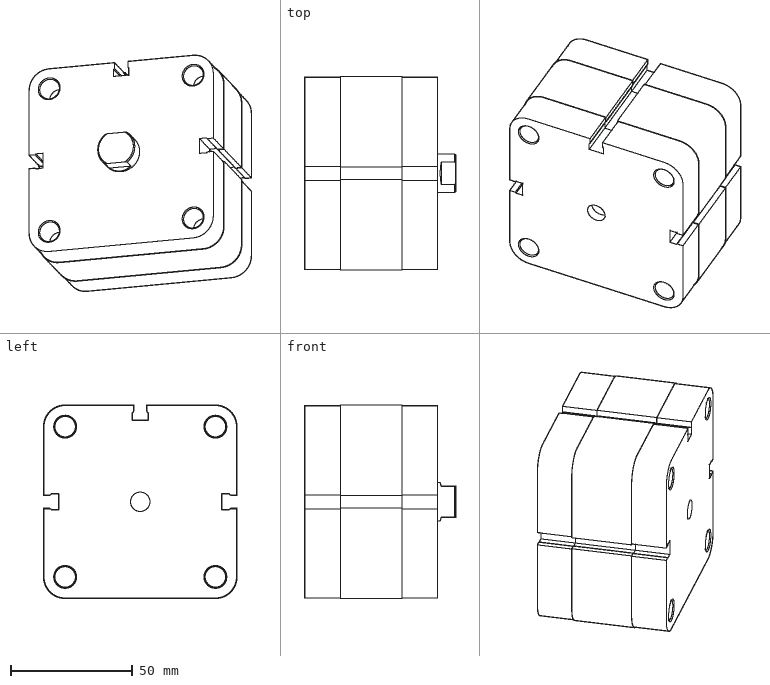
import cadquery as cq


rear_cap_length = 14.7
barrel_length = 25.5
body_length = 55.0
total_length = 62.5
front_cap_length = body_length - rear_cap_length - barrel_length
rod_length = total_length - body_length

barrel_width = 80.0
cap_inset = 0.2
cap_width = barrel_width - 2 * cap_inset
bolt_offset = 31.0
barrel_corner_radius = barrel_width / 2 - bolt_offset
cap_corner_radius = cap_width / 2 - bolt_offset

bolt_diameter = 8.5
bolt_chamfer = 0.5

barrel_neck_width = 5.2
cap_neck_width = 5.8
slot_width = 6.5
slot_shoulder_depth = 3.2
slot_depth = 6.2
slot_angles = (0, 90, -90)

centring_diameter = 8.0
centring_depth = 4.0

rod_diameter = 16.0
rod_end_chamfer = 0.5
flat_distance = 13.0
flat_start = 1.5
shoulder_lean = 0.5


def sensor_slot(neck_width, start, length):
    """Slot cutter for the +Z side, with 45 degree flanks between neck and wide part."""
    neck = neck_width / 2
    wide = slot_width / 2
    top = barrel_width / 2
    shoulder = top - slot_shoulder_depth
    floor = top - slot_depth
    half_outline = [(neck, top), (neck, shoulder + wide - neck), (wide, shoulder), (wide, floor)]
    mirrored = [(-y, z) for y, z in reversed(half_outline)]
    return cq.Workplane("YZ", origin=(start, 0, 0)).polyline(half_outline + mirrored).close().extrude(length)


def slotted_block(width, corner_radius, neck_width, start, length):
    """Rounded square block along X with three sensor slots and four bolt holes."""
    block = cq.Workplane("YZ", origin=(start, 0, 0)).rect(width, width).extrude(length)
    block = block.edges("|X").fillet(corner_radius)
    for angle in slot_angles:
        slot = sensor_slot(neck_width, start, length)
        block = block.cut(slot.rotate((0, 0, 0), (1, 0, 0), angle))
    bolt_pitch = 2 * bolt_offset
    holes = (
        cq.Workplane("YZ", origin=(start, 0, 0))
        .rect(bolt_pitch, bolt_pitch, forConstruction=True)
        .vertices()
        .circle(bolt_diameter / 2)
        .extrude(length)
    )
    return block.cut(holes)


def chamfer_bolt_mouths(cap, outer_face):
    """Chamfer the bolt holes where they open on the cap's outer face."""
    mouths = cap.faces(outer_face).edges("%CIRCLE").edges(cq.selectors.RadiusNthSelector(0))
    return mouths.chamfer(bolt_chamfer)


def make_rear_cap():
    cap = slotted_block(cap_width, cap_corner_radius, cap_neck_width, 0, rear_cap_length)
    cap = chamfer_bolt_mouths(cap, "<X")
    centring_hole = cq.Workplane("YZ").circle(centring_diameter / 2).extrude(centring_depth)
    return cap.cut(centring_hole)


def make_barrel():
    return slotted_block(
        barrel_width, barrel_corner_radius, barrel_neck_width, rear_cap_length, barrel_length
    )


def make_front_cap():
    start = body_length - front_cap_length
    cap = slotted_block(cap_width, cap_corner_radius, cap_neck_width, start, front_cap_length)
    return chamfer_bolt_mouths(cap, ">X")


def make_rod():
    """Rod standing on the front cap, with two flats that leave a leaning shoulder."""
    radius = rod_diameter / 2
    rod = cq.Workplane("YZ", origin=(body_length, 0, 0)).circle(radius).extrude(rod_length)
    rod = rod.faces(">X").chamfer(rod_end_chamfer)
    root = body_length + flat_start
    flat_cut = (
        cq.Workplane("XZ")
        .polyline([
            (root, flat_distance / 2),
            (root - shoulder_lean, radius),
            (total_length, radius),
            (total_length, flat_distance / 2),
        ])
        .close()
        .extrude(radius, both=True)
    )
    return rod.cut(flat_cut).cut(flat_cut.mirror("XY"))


rear_cap = make_rear_cap()
barrel = make_barrel()
front_cap = make_front_cap()
rod = make_rod()

result = cq.Compound.makeCompound([rear_cap.val(), barrel.val(), front_cap.val(), rod.val()])